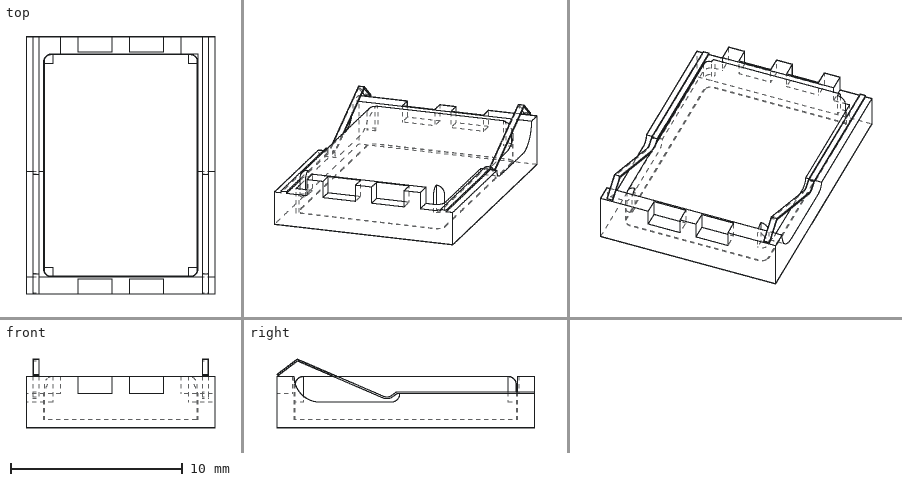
import cadquery as cq
import math

housing_x = 11.0
housing_y = 15.0
housing_z = 3.0
half_x = housing_x / 2
half_y = housing_y / 2

end_wall = 1.0
wall_inner_y = half_y - end_wall
rail_z = 2.0
rear_wall_half_x = 3.5

channel_z = 1.5
channel_front_radius = housing_z - channel_z
channel_rear_radius = rail_z - channel_z
channel_rear_y = -0.35

notch_x = 2.0
notch_y = 0.9
notch_z = 1.0
notch_centre_x = 1.5

rail_width = 1.0
pocket_x = housing_x - 2 * rail_width
pocket_y = housing_y - 2 * end_wall
pocket_floor_z = 0.5
pocket_gap = 0.05
pocket_radius = 0.5
block_corner_radius = 0.35
block_edge_radius = 0.5
corner_notch_z = 1.5
block_x = pocket_x - 2 * pocket_gap
block_y = pocket_y - 2 * pocket_gap

strip_thickness = 0.1
strip_width = 0.35
strip_inset = 0.4
strip_top_z = rail_z + strip_thickness
bend_y = -0.53
valley_y = -1.04
valley_z = 1.73
valley_radius = 0.48
peak_y = -6.32
peak_z = 4.01
tip_z = 3.12


def box(x0, x1, y0, y1, z0, z1):
    """Axis-aligned box between two opposite corners."""
    return cq.Workplane("XY").box(x1 - x0, y1 - y0, z1 - z0, centered=False).translate((x0, y0, z0))


def side_profile():
    """Housing cross-section along Y: front wall, channel and rail."""
    diagonal = math.sqrt(0.5)
    front_centre_y = channel_front_radius - wall_inner_y
    rear_centre_y = channel_rear_y - channel_rear_radius
    return (
        cq.Workplane("YZ", origin=(-half_x, 0, 0))
        .moveTo(-half_y, 0)
        .lineTo(-half_y, housing_z)
        .lineTo(-wall_inner_y, housing_z)
        .threePointArc(
            (front_centre_y - channel_front_radius * diagonal, housing_z - channel_front_radius * diagonal),
            (front_centre_y, channel_z),
        )
        .lineTo(rear_centre_y, channel_z)
        .threePointArc(
            (rear_centre_y + channel_rear_radius * diagonal, rail_z - channel_rear_radius * diagonal),
            (channel_rear_y, rail_z),
        )
        .lineTo(half_y, rail_z)
        .lineTo(half_y, 0)
        .close()
    )


def centred_box(size_x, size_y, bottom_z):
    """Box centred in plan that rises from a given level to the housing top."""
    return box(-size_x / 2, size_x / 2, -size_y / 2, size_y / 2, bottom_z, housing_z)


def make_pocket():
    """Pocket volume with three round corners and one sharp corner."""
    pocket = centred_box(pocket_x, pocket_y, pocket_floor_z)
    sharp_corner = cq.selectors.NearestToPointSelector((half_x, half_y, housing_z / 2))
    round_corners = cq.selectors.SubtractSelector(cq.selectors.StringSyntaxSelector("|Z"), sharp_corner)
    return pocket.edges(round_corners).fillet(pocket_radius)


def lower_point(point, before, after):
    """(Y, Z) point on the underside of the strip, below a corner of its upper side."""
    angle_in = math.atan2(point[1] - before[1], before[0] - point[0])
    angle_out = math.atan2(after[1] - point[1], point[0] - after[0])
    bisector = (angle_in + angle_out) / 2
    miter = strip_thickness / math.cos((angle_out - angle_in) / 2)
    return (point[0] - miter * math.sin(bisector), point[1] - miter * math.cos(bisector))


def spring_strip(left_x):
    """Bent strip: flat on the rail, dipping into the channel, rising to a peak and falling to the tip."""
    rear = (half_y, strip_top_z)
    bend = (bend_y, strip_top_z)
    valley = (valley_y, valley_z)
    peak = (peak_y, peak_z)
    tip = (-half_y, tip_z)
    tip_slope = math.atan2(peak_z - tip_z, peak_y + half_y)
    tip_lower = (
        -half_y + strip_thickness * math.sin(tip_slope),
        tip_z - strip_thickness * math.cos(tip_slope),
    )
    valley_lower = lower_point(valley, bend, peak)
    outline = [
        rear,
        bend,
        valley,
        peak,
        tip,
        tip_lower,
        lower_point(peak, valley, tip),
        valley_lower,
        lower_point(bend, rear, valley),
        (half_y, rail_z),
    ]
    strip = cq.Workplane("YZ", origin=(left_x, 0, 0)).polyline(outline).close().extrude(strip_width)
    middle_x = left_x + strip_width / 2
    upper_edge = cq.selectors.NearestToPointSelector((middle_x, *valley))
    lower_edge = cq.selectors.NearestToPointSelector((middle_x, *valley_lower))
    strip = strip.edges(upper_edge).fillet(valley_radius)
    return strip.edges(lower_edge).fillet(valley_radius + strip_thickness)


def make_housing():
    """Tray with end walls, notches, block pocket and the two spring strips it carries."""
    housing = side_profile().extrude(housing_x)
    rear_wall = box(-rear_wall_half_x, rear_wall_half_x, wall_inner_y, half_y, rail_z, housing_z)
    housing = housing.union(rear_wall)
    housing = housing.cut(make_pocket())
    for side_x in (-1, 1):
        for side_y in (-1, 1):
            notch = cq.Workplane("XY").box(notch_x, notch_y, notch_z)
            place = (side_x * notch_centre_x, side_y * (half_y - notch_y / 2), housing_z - notch_z / 2)
            housing = housing.cut(notch.translate(place))
    for left_x in (strip_inset - half_x, half_x - strip_inset - strip_width):
        housing = housing.union(spring_strip(left_x))
    return housing


def make_block():
    """Block on the pocket floor: round-cornered base and a body with rounded top edges and notched corners."""
    base = centred_box(block_x, block_y, pocket_floor_z).edges("|Z").fillet(block_corner_radius)
    base = base.intersect(box(-half_x, half_x, -half_y, half_y, 0, corner_notch_z))
    across = centred_box(block_x - 2 * block_edge_radius, block_y, pocket_floor_z)
    across = across.edges("|X and >Z").fillet(block_edge_radius)
    along = centred_box(block_x, block_y - 2 * block_edge_radius, pocket_floor_z)
    along = along.edges("|Y and >Z").fillet(block_edge_radius)
    return base.union(across).union(along)


housing = make_housing()
block = make_block()

result = cq.Compound.makeCompound([housing.val(), block.val()])